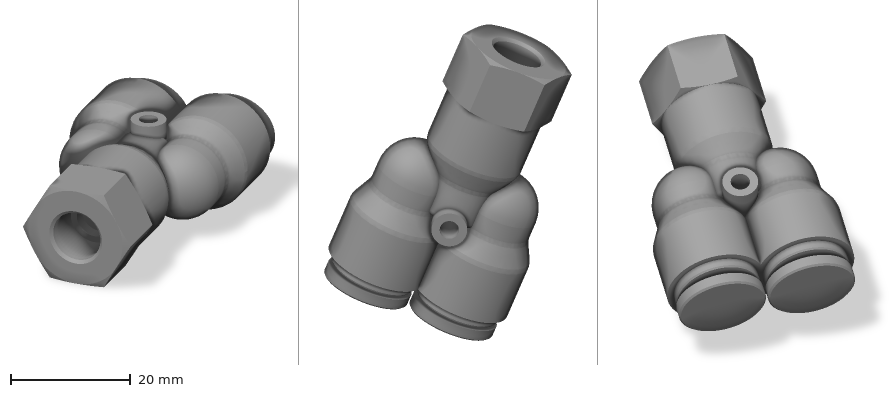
import cadquery as cq
import math


LARGE_RADIUS = 16.9 / 2
SMALL_RADIUS = 13.1 / 2
BRANCH_OFFSET = 7.7
CONE_LENGTH = 4.0
BLEND_RADIUS = 2.0
INLET_CONE_START = 20.05
NECK_END = 31.05
NECK_END_ROUNDING = 1.0
BRANCH_DOME_CENTRE = 27.55
BRANCH_CONE_START = 31.0
BARREL_END = 45.05

EYE_DIAMETER = 6.0
EYE_HOLE_DIAMETER = 3.2
EYE_Y = 31.0

NUT_ACROSS_FLATS = 17.0
NUT_LENGTH = 10.15
NUT_BEVEL_HEIGHT = 0.5
SOCKET_MOUTH_DIAMETER = 9.6
SOCKET_DIAMETER = 8.6
SOCKET_DEPTH = 7.95
PASSAGE_DIAMETER = 6.4

COLLAR_DIAMETER = 14.7
COLLAR_END = 46.7
COLLAR_BEVEL_HEIGHT = 0.3
COLLAR_BEVEL_WIDTH = 0.2

BUTTON_WIDTH = 15.05
BUTTON_HEIGHT = 13.1
BUTTON_START = 47.5
BUTTON_END = 49.6
BUTTON_CHAMFER = 0.3
SLEEVE_DIAMETER = 9.6

BRANCH_SIDES = (-1, 1)


def cylinder_along_y(diameter, start, end):
    """Round bar on the Y axis between two Y positions."""
    return cq.Workplane("XZ", origin=(0, start, 0)).circle(diameter / 2).extrude(start - end)


def revolve_around_y(outline):
    """Full turn about the Y axis of an outline drawn in the XY plane."""
    return outline.close().revolve(360, (0, 0, 0), (0, 1, 0))


def blend_taper(body, cone_start):
    """Round the two circular edges that bound a taper."""
    taper_ends = (cone_start, cone_start + CONE_LENGTH)

    def bounds_taper(edge):
        return any(math.isclose(edge.Center().y, end, abs_tol=0.005) for end in taper_ends)

    return body.edges("%CIRCLE").filter(bounds_taper).fillet(BLEND_RADIUS)


def make_inlet():
    """Barrel that tapers down to a neck with a rounded end."""
    outline = (
        cq.Workplane("XY")
        .moveTo(0, NUT_LENGTH)
        .lineTo(LARGE_RADIUS, NUT_LENGTH)
        .lineTo(LARGE_RADIUS, INLET_CONE_START)
        .lineTo(SMALL_RADIUS, INLET_CONE_START + CONE_LENGTH)
        .lineTo(SMALL_RADIUS, NECK_END)
        .lineTo(0, NECK_END)
    )
    inlet = blend_taper(revolve_around_y(outline), INLET_CONE_START)
    return inlet.faces(">Y").edges().fillet(NECK_END_ROUNDING)


def make_right_branch():
    """Domed neck on the +X side that widens to an outlet barrel."""
    dome_slant = SMALL_RADIUS * math.sqrt(0.5)
    outline = (
        cq.Workplane("XY")
        .moveTo(0, BRANCH_DOME_CENTRE - SMALL_RADIUS)
        .threePointArc((dome_slant, BRANCH_DOME_CENTRE - dome_slant), (SMALL_RADIUS, BRANCH_DOME_CENTRE))
        .lineTo(SMALL_RADIUS, BRANCH_CONE_START)
        .lineTo(LARGE_RADIUS, BRANCH_CONE_START + CONE_LENGTH)
        .lineTo(LARGE_RADIUS, BARREL_END)
        .lineTo(0, BARREL_END)
    )
    branch = blend_taper(revolve_around_y(outline), BRANCH_CONE_START)
    return branch.translate((BRANCH_OFFSET, 0, 0))


def make_eye(diameter):
    """Bar along Z through the fork, as tall as the barrels."""
    return cq.Workplane("XY").center(0, EYE_Y).circle(diameter / 2).extrude(LARGE_RADIUS, both=True)


def make_housing():
    """Inlet and two mirrored branches, joined and pierced at the eye."""
    right_branch = make_right_branch()
    left_branch = right_branch.mirror("YZ")
    housing = make_inlet().union(left_branch).union(right_branch)
    return housing.union(make_eye(EYE_DIAMETER)).cut(make_eye(EYE_HOLE_DIAMETER))


def make_nut():
    """Hex nut with bevelled corners, whose socket narrows to the passage."""
    flat_radius = NUT_ACROSS_FLATS / 2
    corner_radius = flat_radius / math.cos(math.radians(30))
    hexagon = cq.Workplane("XZ").polygon(6, 2 * corner_radius).extrude(-NUT_LENGTH)
    bevel_envelope = revolve_around_y(
        cq.Workplane("XY")
        .moveTo(0, 0)
        .lineTo(flat_radius, 0)
        .lineTo(corner_radius, NUT_BEVEL_HEIGHT)
        .lineTo(corner_radius, NUT_LENGTH - NUT_BEVEL_HEIGHT)
        .lineTo(flat_radius, NUT_LENGTH)
        .lineTo(0, NUT_LENGTH)
    )
    mouth_depth = (SOCKET_MOUTH_DIAMETER - SOCKET_DIAMETER) / 2
    socket = revolve_around_y(
        cq.Workplane("XY")
        .moveTo(0, 0)
        .lineTo(SOCKET_MOUTH_DIAMETER / 2, 0)
        .lineTo(SOCKET_DIAMETER / 2, mouth_depth)
        .lineTo(SOCKET_DIAMETER / 2, SOCKET_DEPTH)
        .lineTo(PASSAGE_DIAMETER / 2, SOCKET_DEPTH)
        .lineTo(PASSAGE_DIAMETER / 2, NUT_LENGTH)
        .lineTo(0, NUT_LENGTH)
    )
    return hexagon.intersect(bevel_envelope).cut(socket)


def make_collar(side):
    """Round disc with a bevelled outer rim."""
    collar = cylinder_along_y(COLLAR_DIAMETER, BARREL_END, COLLAR_END)
    collar = collar.faces(">Y").chamfer(COLLAR_BEVEL_HEIGHT, COLLAR_BEVEL_WIDTH)
    return collar.translate((side * BRANCH_OFFSET, 0, 0))


def make_button(side):
    """Oval flange on a round sleeve that stands on the collar."""
    flange = (
        cq.Workplane("XZ", origin=(0, BUTTON_START, 0))
        .ellipse(BUTTON_WIDTH / 2, BUTTON_HEIGHT / 2)
        .extrude(BUTTON_START - BUTTON_END)
        .faces(">Y")
        .chamfer(BUTTON_CHAMFER)
    )
    sleeve = cylinder_along_y(SLEEVE_DIAMETER, COLLAR_END, BUTTON_START)
    return flange.union(sleeve).translate((side * BRANCH_OFFSET, 0, 0))


housing = make_housing()
nut = make_nut()
collars = [make_collar(side) for side in BRANCH_SIDES]
buttons = [make_button(side) for side in BRANCH_SIDES]

result = cq.Compound.makeCompound(
    [housing.val(), nut.val(), *[collar.val() for collar in collars], *[button.val() for button in buttons]]
)